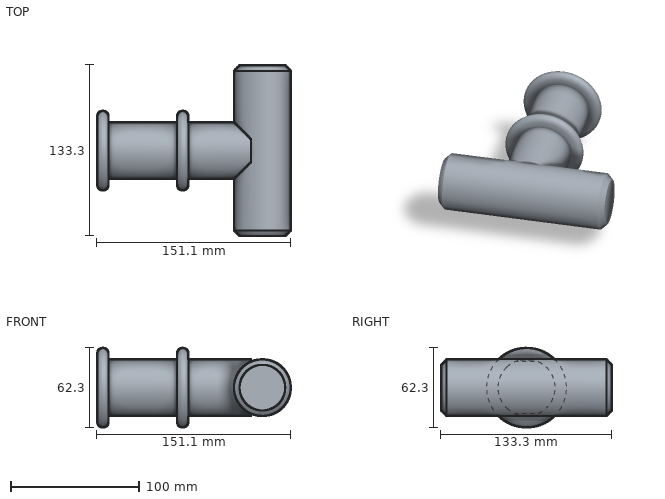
import cadquery as cq

overall_length = 151.1
bar_diameter = 44.5
bar_length = 133.3
bar_chamfer = 4.4
stem_diameter = bar_diameter
stem_end = 120.0
collar_diameter = 62.3
collar_thickness = 8.9
second_collar_start = 62.3

bar_axis_x = overall_length - bar_diameter / 2


def make_collar(start_x):
    """Disc around the X axis with a fully rounded rim."""
    rim_radius = collar_thickness / 2
    outer_radius = collar_diameter / 2
    flat_radius = outer_radius - rim_radius
    end_x = start_x + collar_thickness
    profile = (
        cq.Workplane("XY")
        .moveTo(start_x, 0)
        .lineTo(start_x, flat_radius)
        .threePointArc((start_x + rim_radius, outer_radius), (end_x, flat_radius))
        .lineTo(end_x, 0)
        .close()
    )
    return profile.revolve(360, (0, 0, 0), (1, 0, 0))


crossbar = (
    cq.Workplane("XZ", origin=(bar_axis_x, bar_length / 2, 0))
    .circle(bar_diameter / 2)
    .extrude(bar_length)
    .faces("<Y or >Y")
    .edges()
    .chamfer(bar_chamfer)
)

stem_start = collar_thickness / 2
stem = (
    cq.Workplane("YZ", origin=(stem_start, 0, 0))
    .circle(stem_diameter / 2)
    .extrude(stem_end - stem_start)
)

result = crossbar.union(stem)
for collar_start in (0, second_collar_start):
    result = result.union(make_collar(collar_start))